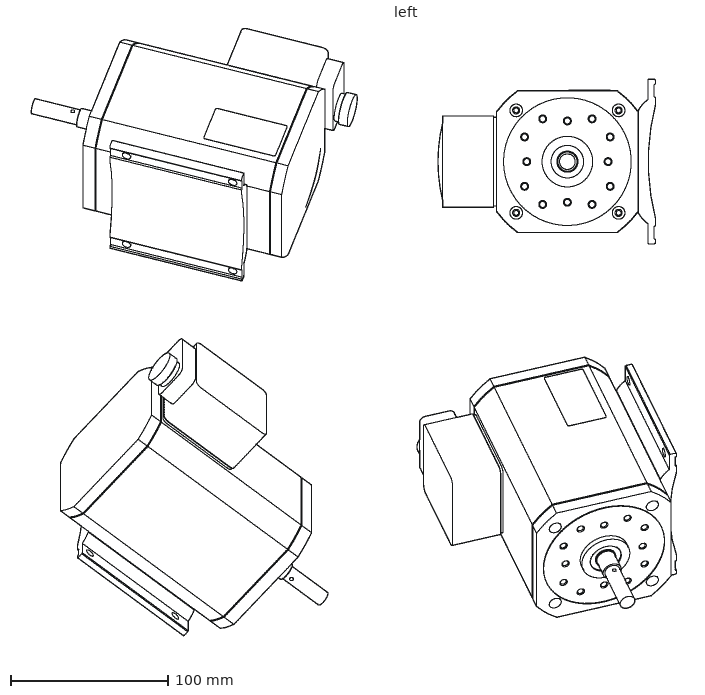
import cadquery as cq
import math


BODY_HALF = 45.2
FLAT_HALF = 31.8
CORNER_STEP = 0.8
BODY_START = 47.3
BODY_END = 180.0
SEAM_WIDTH = 0.5
SEAM_DEPTH = 0.4
FRONT_SEAM_X = 55.7
REAR_SEAM_X = 172.2
END_DOME_RADIUS = 40.6
END_DOME_HEIGHT = 5.4

DISC_RADIUS = 40.6
DISC_START = 46.7
COLLAR_RADIUS = 16.0
COLLAR_START = 43.3
RECESS_RADIUS = 10.3
RECESS_DEPTH = 1.0
SLEEVE_RADIUS = 6.7
SHOULDER_RADIUS = 6.1
SHOULDER_START = 30.6
SHAFT_RADIUS = 5.0
PIN_HOLE_X = 26.2
PIN_HOLE_DIAMETER = 2.3

TAP_RADIUS = 2.0
TAP_MOUTH_RADIUS = 2.5
TAP_DEPTH = 7.7
TAP_POINT_HALF_ANGLE = 59
TAP_COUNT = 12
TAPS_PER_QUARTER = TAP_COUNT // 4
CROSS_CIRCLE_RADIUS = 25.9
OUTER_CIRCLE_RADIUS = 31.5

SCREW_OFFSET = 32.5
SCREW_HOLE_RADIUS = 4.0
SCREW_HOLE_DEPTH = 9.5
SCREW_HEAD_HEIGHT = 1.7
SCREW_HEAD_CROWN = 2.3
SCREW_SOCKET_WIDTH = 3.5
SCREW_SOCKET_DEPTH = 1.1

FOOT_START = 69.0
FOOT_LENGTH = 87.9
FOOT_HALF_HEIGHT = 52.5
FOOT_FACE_Y = -56.1
FLANGE_BACK_Y = -51.1
GROOVE_FLOOR_Y = -55.2
GROOVE_OUTER_Z = 48.8
GROOVE_INNER_Z = 41.4
HOLLOW_HALF_HEIGHT = 36.2
HOLLOW_DEPTH = 4.6
NECK_HALF_HEIGHT = 32.7
NECK_MIDDLE_Y = -47.7
NECK_MIDDLE_Z = 36.4
NECK_TOP_Z = 39.5
FLANGE_CHAMFER = 0.5
LIP_RADIUS = 1.3
LIP_SLOPE = 0.8
FOOT_HOLE_DIAMETER = 5.5
FOOT_HOLE_Z = 44.8
FOOT_HOLE_MARGIN = 10.7
FOOT_HOLE_SPACING = 70.9

BOX_WIDTH = 58.2
BOX_CENTRE_X = 142.3
BOX_BOTTOM_Y = 47.0
BOX_TOP_Y = 79.3
BOX_FILLET = 4.2
PLINTH_INSET = 0.8
LID_DOME_RADIUS = 24.9
LID_DOME_HEIGHT = 3.0

CONNECTOR_Y = 66.5
CONNECTOR_Z = -10.7
BLOCK_WIDTH = 23.5
BLOCK_HEIGHT = 46.3
BLOCK_END = 182.3
BLOCK_FILLET = 4.0
CONNECTOR_NECK_RADIUS = 9.2
CONNECTOR_NECK_END = 185.5
CONNECTOR_CAP_RADIUS = 10.5
CONNECTOR_END = 191.5

PLATE_START = 122.0
PLATE_LENGTH = 47.9
PLATE_WIDTH = 26.0
PLATE_CENTRE_Y = -14.0
PLATE_THICKNESS = 0.2
PLATE_CORNER_RADIUS = 1.1


def x_plane(x):
    """Sketch plane across the motor axis: local x is Y, local y is Z, extrusion goes to +X."""
    return cq.Workplane("YZ", origin=(x, 0, 0))


def rod(start, end, radius, y=0, z=0):
    """Cylinder parallel to the motor axis."""
    return x_plane(start).center(y, z).circle(radius).extrude(end - start)


def dome(radius, height):
    """Spherical cap standing on the XY plane, with its peak on +Z."""
    sphere_radius = (radius**2 + height**2) / (2 * height)
    half_angle = math.asin(radius / sphere_radius) / 2
    drop = sphere_radius * (1 - math.cos(half_angle))
    middle = (sphere_radius * math.sin(half_angle), height - drop)
    return (
        cq.Workplane("XZ")
        .lineTo(radius, 0)
        .threePointArc(middle, (0, height))
        .close()
        .revolve(360, (0, 0, 0), (0, 1, 0))
    )


def quarter_turns(y, z, count):
    """The point (y, z) turned about the motor axis by a number of right angles."""
    for _ in range(count):
        y, z = -z, y
    return y, z


def body_section(start, length, inset=0.0):
    """Slab of the motor section: four flats joined by small steps to round corners."""
    side = BODY_HALF - inset
    arc_near = FLAT_HALF + CORNER_STEP
    arc_far = side - CORNER_STEP
    arc_middle = math.hypot(arc_near, arc_far) * math.sqrt(0.5)
    outline = x_plane(start).moveTo(side, -FLAT_HALF)
    for turn in range(4):
        outline = (
            outline.lineTo(*quarter_turns(side, FLAT_HALF, turn))
            .lineTo(*quarter_turns(arc_far, arc_near, turn))
            .threePointArc(
                quarter_turns(arc_middle, arc_middle, turn),
                quarter_turns(arc_near, arc_far, turn),
            )
            .lineTo(*quarter_turns(FLAT_HALF, side, turn))
        )
    return outline.close().extrude(length)


def motor_body():
    body = body_section(BODY_START, BODY_END - BODY_START)
    for seam_x in (FRONT_SEAM_X, REAR_SEAM_X):
        start = seam_x - SEAM_WIDTH / 2
        ring = body_section(start, SEAM_WIDTH).cut(body_section(start, SEAM_WIDTH, SEAM_DEPTH))
        body = body.cut(ring)
    end_dome = dome(END_DOME_RADIUS, END_DOME_HEIGHT).rotate((0, 0, 0), (0, 1, 0), 90)
    return body.union(end_dome.translate((BODY_END, 0, 0)))


def add_shaft(motor):
    motor = motor.union(rod(DISC_START, BODY_START, DISC_RADIUS))
    motor = motor.union(rod(COLLAR_START, DISC_START, COLLAR_RADIUS))
    recess = rod(COLLAR_START, COLLAR_START + RECESS_DEPTH, RECESS_RADIUS)
    sleeve = rod(COLLAR_START, COLLAR_START + RECESS_DEPTH, SLEEVE_RADIUS)
    motor = motor.cut(recess.cut(sleeve))
    motor = motor.union(rod(SHOULDER_START, COLLAR_START, SHOULDER_RADIUS))
    shaft = rod(0, SHOULDER_START, SHAFT_RADIUS)
    pin_hole = (
        cq.Workplane("XY")
        .center(PIN_HOLE_X, 0)
        .circle(PIN_HOLE_DIAMETER / 2)
        .extrude(SHAFT_RADIUS, both=True)
    )
    return motor.union(shaft.cut(pin_hole))


def tapped_hole():
    """Countersunk hole with a conical bottom, entering at X = 0 towards +X."""
    point = TAP_RADIUS / math.tan(math.radians(TAP_POINT_HALF_ANGLE))
    return (
        cq.Workplane("XY")
        .lineTo(0, TAP_MOUTH_RADIUS)
        .lineTo(TAP_MOUTH_RADIUS - TAP_RADIUS, TAP_RADIUS)
        .lineTo(TAP_DEPTH, TAP_RADIUS)
        .lineTo(TAP_DEPTH + point, 0)
        .close()
        .revolve(360, (0, 0, 0), (1, 0, 0))
    )


def cut_tapped_holes(motor):
    for step in range(TAP_COUNT):
        angle = 2 * math.pi * step / TAP_COUNT
        radius = CROSS_CIRCLE_RADIUS if step % TAPS_PER_QUARTER == 0 else OUTER_CIRCLE_RADIUS
        place = (DISC_START, radius * math.cos(angle), radius * math.sin(angle))
        motor = motor.cut(tapped_hole().translate(place))
    return motor


def add_corner_screws(motor):
    floor_x = BODY_START + SCREW_HOLE_DEPTH
    head = dome(SCREW_HOLE_RADIUS, SCREW_HEAD_CROWN)
    head = head.intersect(cq.Workplane("XY").circle(SCREW_HOLE_RADIUS).extrude(SCREW_HEAD_HEIGHT))
    socket = (
        cq.Workplane("XY", origin=(0, 0, SCREW_HEAD_HEIGHT - SCREW_SOCKET_DEPTH))
        .polygon(6, SCREW_SOCKET_WIDTH)
        .extrude(SCREW_HEAD_HEIGHT)
    )
    head = head.cut(socket).rotate((0, 0, 0), (0, 1, 0), -90)
    for y in (-SCREW_OFFSET, SCREW_OFFSET):
        for z in (-SCREW_OFFSET, SCREW_OFFSET):
            motor = motor.cut(rod(DISC_START, floor_x, SCREW_HOLE_RADIUS, y, z))
            motor = motor.union(head.translate((floor_x, y, z)))
    return motor


def mounting_foot():
    lip_inset = LIP_RADIUS * (1 - math.sqrt(0.5))
    lip_middle = (FOOT_FACE_Y + lip_inset, FOOT_HALF_HEIGHT - lip_inset)
    half = (
        x_plane(FOOT_START)
        .moveTo(-BODY_HALF, 0)
        .lineTo(-BODY_HALF, NECK_HALF_HEIGHT)
        .threePointArc((NECK_MIDDLE_Y, NECK_MIDDLE_Z), (FLANGE_BACK_Y, NECK_TOP_Z))
        .lineTo(FLANGE_BACK_Y, FOOT_HALF_HEIGHT - FLANGE_CHAMFER)
        .lineTo(FLANGE_BACK_Y - FLANGE_CHAMFER, FOOT_HALF_HEIGHT)
        .lineTo(FOOT_FACE_Y + LIP_RADIUS, FOOT_HALF_HEIGHT)
        .threePointArc(lip_middle, (FOOT_FACE_Y, FOOT_HALF_HEIGHT - LIP_RADIUS))
        .lineTo(FOOT_FACE_Y, GROOVE_OUTER_Z + LIP_SLOPE)
        .lineTo(GROOVE_FLOOR_Y, GROOVE_OUTER_Z)
        .lineTo(GROOVE_FLOOR_Y, GROOVE_INNER_Z)
        .lineTo(FOOT_FACE_Y, GROOVE_INNER_Z - LIP_SLOPE)
        .lineTo(FOOT_FACE_Y, 0)
        .close()
        .extrude(FOOT_LENGTH)
    )
    foot = half.union(half.mirror("XY"))
    hollow_radius = (HOLLOW_HALF_HEIGHT**2 + HOLLOW_DEPTH**2) / (2 * HOLLOW_DEPTH)
    hollow_y = FOOT_FACE_Y + HOLLOW_DEPTH - hollow_radius
    foot = foot.cut(rod(FOOT_START, FOOT_START + FOOT_LENGTH, hollow_radius, hollow_y))
    holes_centre_x = FOOT_START + FOOT_HOLE_MARGIN + FOOT_HOLE_SPACING / 2
    holes = (
        cq.Workplane("XZ", origin=(holes_centre_x, FLANGE_BACK_Y, 0))
        .rarray(FOOT_HOLE_SPACING, 2 * FOOT_HOLE_Z, 2, 2)
        .circle(FOOT_HOLE_DIAMETER / 2)
        .extrude(FLANGE_BACK_Y - FOOT_FACE_Y)
    )
    return foot.cut(holes)


def y_block(start_y, end_y, width, fillet):
    """Square block on the terminal box axis, with rounded edges along Y."""
    return (
        cq.Workplane("XZ", origin=(BOX_CENTRE_X, end_y, 0))
        .rect(width, width)
        .extrude(end_y - start_y)
        .edges("|Y")
        .fillet(fillet)
    )


def terminal_box():
    box = y_block(BOX_BOTTOM_Y, BOX_TOP_Y, BOX_WIDTH, BOX_FILLET)
    plinth_width = BOX_WIDTH - 2 * PLINTH_INSET
    box = box.union(y_block(BODY_HALF, BOX_BOTTOM_Y, plinth_width, BOX_FILLET - PLINTH_INSET))
    lid = dome(LID_DOME_RADIUS, LID_DOME_HEIGHT).rotate((0, 0, 0), (1, 0, 0), -90)
    return box.union(lid.translate((BOX_CENTRE_X, BOX_TOP_Y, 0)))


def cable_connector():
    start = BOX_CENTRE_X + BOX_WIDTH / 2
    block = (
        x_plane(start)
        .center(CONNECTOR_Y, 0)
        .rect(BLOCK_WIDTH, BLOCK_HEIGHT)
        .extrude(BLOCK_END - start)
        .edges("|X")
        .fillet(BLOCK_FILLET)
    )
    neck = rod(BLOCK_END, CONNECTOR_NECK_END, CONNECTOR_NECK_RADIUS, CONNECTOR_Y, CONNECTOR_Z)
    cap = rod(CONNECTOR_NECK_END, CONNECTOR_END, CONNECTOR_CAP_RADIUS, CONNECTOR_Y, CONNECTOR_Z)
    return block.union(neck).union(cap)


def name_plate():
    return (
        cq.Workplane("XY", origin=(PLATE_START + PLATE_LENGTH / 2, PLATE_CENTRE_Y, BODY_HALF))
        .rect(PLATE_LENGTH, PLATE_WIDTH)
        .extrude(PLATE_THICKNESS)
        .edges("|Z")
        .fillet(PLATE_CORNER_RADIUS)
    )


motor = add_shaft(motor_body())
motor = cut_tapped_holes(motor)
motor = add_corner_screws(motor)
result = (
    motor.union(mounting_foot())
    .union(terminal_box())
    .union(cable_connector())
    .union(name_plate())
)